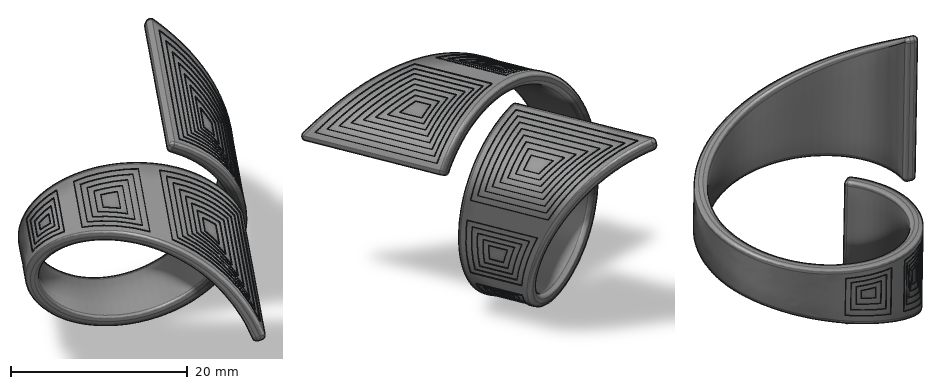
import cadquery as cq
import math

OUTER_RADIUS = 13.05
WALL = 1.52
INNER_RADIUS = OUTER_RADIUS - WALL
AXIS_TURN = 56.0
MID_ANGLE = 225.0
HALF_SPAN = 204.6
EDGE_ROUND = 0.5

MID_HALF_WIDTH = 3.25
LEAN = 0.027
FLARE_START = 10.0
FLARE = 0.000361446
ARC_PER_DEGREE = OUTER_RADIUS * math.pi / 180

TIP_ANGLE = MID_ANGLE - HALF_SPAN
TAIL_ANGLE = MID_ANGLE + HALF_SPAN
SEGMENT_BOUNDS = [TIP_ANGLE, 83.5, 128.0, 166.3]
SEGMENT_STEPS = [8, 5, 4]
PIT_MARGIN = 1.2
STEP_WIDTH = 0.7
STEP_DEPTH = 0.1
CUT_CLEARANCE = 0.35

BAND_STATIONS = 25
PIT_STATIONS = 5
ANGLE_TOLERANCE = 0.1


def outline_reach(away, inset):
    """Distance of one long edge from the centerline, moved inwards square to itself."""
    flared = max(0.0, away - FLARE_START)
    slope = (LEAN + 2 * FLARE * flared) / ARC_PER_DEGREE
    return MID_HALF_WIDTH + LEAN * away + FLARE * flared**2 - inset * math.hypot(1, slope)


def upper_edge(angle, inset):
    return outline_reach(MID_ANGLE - angle, inset)


def lower_edge(angle, inset):
    return -outline_reach(angle - MID_ANGLE, inset)


def long_edge(radius, edge, inset, angles):
    """Space curve of one edge of the outline at the given radius."""
    points = []
    for angle in angles:
        turn = math.radians(angle)
        points.append(cq.Vector(radius * math.cos(turn), radius * math.sin(turn), edge(angle, inset)))
    return cq.Edge.makeSpline(points, parameters=angles)


def curved_slab(start, end, inset, inner_radius, outer_radius, stations):
    """Solid between two radii and two angles, bounded by the inset long edges."""
    pitch = (end - start) / (stations - 1)
    angles = [start + i * pitch for i in range(stations)]
    rails = [
        long_edge(inner_radius, lower_edge, inset, angles),
        long_edge(inner_radius, upper_edge, inset, angles),
        long_edge(outer_radius, upper_edge, inset, angles),
        long_edge(outer_radius, lower_edge, inset, angles),
    ]
    faces = [cq.Face.makeRuledSurface(rails[i - 1], rails[i]) for i in range(len(rails))]
    for corners in ([r.startPoint() for r in rails], [r.endPoint() for r in rails]):
        faces.append(cq.Face.makeFromWires(cq.Wire.makePolygon(corners, close=True)))
    return cq.Solid.makeSolid(cq.Shell.makeShell(faces)).fix()


def stepped_pit_cutters(start, end, steps):
    """Nested cutters for one segment, each narrower and one step deeper than the last."""
    cutters = []
    for step in range(steps):
        inset = PIT_MARGIN + step * STEP_WIDTH
        angle_inset = inset / ARC_PER_DEGREE
        cutters.append(
            curved_slab(
                start + angle_inset,
                end - angle_inset,
                inset,
                OUTER_RADIUS - (step + 1) * STEP_DEPTH,
                OUTER_RADIUS + CUT_CLEARANCE,
                PIT_STATIONS,
            )
        )
    return cutters


def touches_band_end(edge):
    """True for the edges of the band outline, which all reach one of its ends."""
    for vertex in edge.Vertices():
        angle = math.degrees(math.atan2(vertex.Y, vertex.X)) % 360
        for end_angle in (TIP_ANGLE, TAIL_ANGLE):
            if abs(angle - end_angle % 360) < ANGLE_TOLERANCE:
                return True
    return False


band = curved_slab(TIP_ANGLE, TAIL_ANGLE, 0, INNER_RADIUS, OUTER_RADIUS, BAND_STATIONS)

for segment, steps in enumerate(SEGMENT_STEPS):
    start, end = SEGMENT_BOUNDS[segment : segment + 2]
    near_cutters = stepped_pit_cutters(start, end, steps)
    far_cutters = stepped_pit_cutters(2 * MID_ANGLE - end, 2 * MID_ANGLE - start, steps)
    band = band.cut(*near_cutters, *far_cutters)

outline = [edge for edge in band.Edges() if touches_band_end(edge)]
band = band.fillet(EDGE_ROUND, outline)

axis_turn = math.radians(AXIS_TURN)
finger_frame = cq.Plane(
    origin=(0, 0, 0),
    xDir=(math.sin(axis_turn), math.cos(axis_turn), 0),
    normal=(math.cos(axis_turn), -math.sin(axis_turn), 0),
)
result = cq.Workplane(obj=band.moved(finger_frame.location))